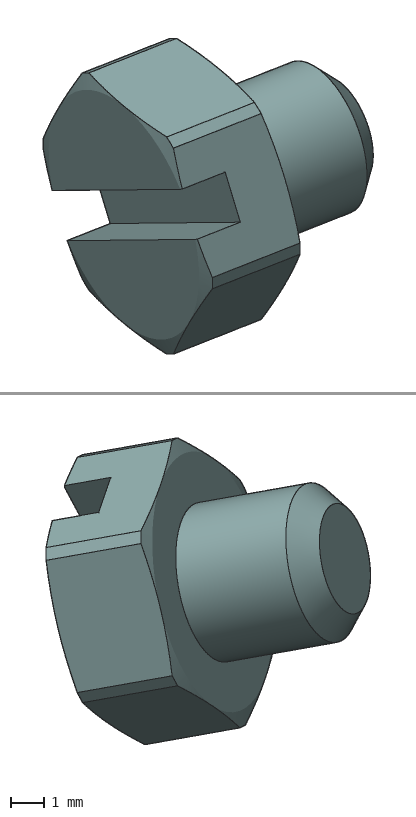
import cadquery as cq
import math

across_flats = 7.99
across_blunted_corners = 8.99
head_height = 3.5
head_chamfer_angle = 15.0
total_length = 7.99
shank_diameter = 4.9
shank_tip_chamfer = 0.755
slot_width = 1.6
slot_depth = 1.6
slot_angle = 30.0

side_count = 6
corner_diameter = across_flats / math.cos(math.pi / side_count)
cut_radius = corner_diameter


def plane_at(y):
    """Sketch plane at height y on the screw axis; extruding from it runs toward -Y."""
    return cq.Workplane("XZ", origin=(0, y, 0))


def hex_prism(diameter, turn=0.0):
    """Hexagonal prism as tall as the head, with corners on +X and -X before turning."""
    prism = plane_at(head_height).polygon(side_count, diameter).extrude(head_height)
    return prism.rotate((0, 0, 0), (0, 1, 0), turn)


def chamfer_envelope():
    """Solid of revolution whose shallow end cones trim the corners of both head faces."""
    face_radius = across_flats / 2
    cone_height = (cut_radius - face_radius) * math.tan(math.radians(head_chamfer_angle))
    return (
        cq.Workplane("XY")
        .polyline([
            (0, 0),
            (face_radius, 0),
            (cut_radius, cone_height),
            (cut_radius, head_height - cone_height),
            (face_radius, head_height),
            (0, head_height),
        ])
        .close()
        .revolve(360, (0, 0, 0), (0, 1, 0))
    )


def make_head():
    """Hexagon with flat-blunted corners and both faces chamfered."""
    blunting_diameter = across_blunted_corners / math.cos(math.pi / side_count)
    blunting_turn = 180 / side_count
    head = hex_prism(corner_diameter).intersect(hex_prism(blunting_diameter, blunting_turn))
    return head.intersect(chamfer_envelope())


def make_shank():
    """Plain cylinder with a chamfered tip."""
    shank = plane_at(total_length).circle(shank_diameter / 2).extrude(total_length - slot_depth)
    return shank.faces(">Y").edges().chamfer(shank_tip_chamfer)


def make_slot():
    """Straight driver slot across the head face, crossing two opposite flats squarely."""
    slot = plane_at(slot_depth).rect(2 * cut_radius, slot_width).extrude(slot_depth)
    return slot.rotate((0, 0, 0), (0, 1, 0), -slot_angle)


result = make_head().union(make_shank()).cut(make_slot())